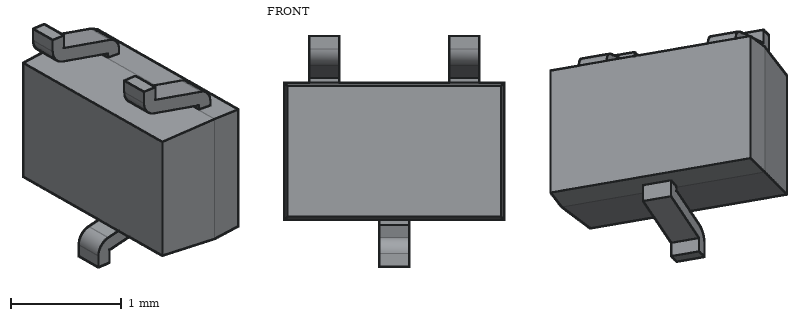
import cadquery as cq
import math

HOUSING_WIDTH = 2.0
HOUSING_HEIGHT = 1.25
HOUSING_FRONT_Y = 0.05
PARTING_Y = 0.65
HOUSING_BACK_Y = 0.95
DRAFT_ANGLE = 3.0

LEAD_SPAN = 2.1
LEAD_THICKNESS = 0.135
LEAD_WIDTH = 0.275
LEAD_PITCH = 1.27
LEAD_BACK_Y = 0.795
LEAD_SLOPE_ANGLE = 12.0
FOOT_LENGTH = 0.133
FOOT_BEND_RADIUS = 0.15
ROOT_BEND_RADIUS = 0.135


def housing_half(depth):
    """Drafted block narrowing away from the parting plane: toward -Y for positive depth, +Y for negative."""
    direction = math.copysign(1, depth)
    plane = cq.Plane(origin=(0, PARTING_Y, 0), xDir=(direction, 0, 0), normal=(0, -direction, 0))
    return cq.Workplane(plane).rect(HOUSING_WIDTH, HOUSING_HEIGHT).extrude(abs(depth), taper=DRAFT_ANGLE)


def make_housing():
    front_half = housing_half(PARTING_Y - HOUSING_FRONT_Y)
    back_half = housing_half(PARTING_Y - HOUSING_BACK_Y)
    return front_half.union(back_half)


def root_height(y):
    """Half height of the drafted rear half of the housing at depth y."""
    return HOUSING_HEIGHT / 2 - (y - PARTING_Y) * math.tan(math.radians(DRAFT_ANGLE))


def make_lead(center_x, rounded_root):
    """Lead that rises in +Z from the housing, slopes forward and ends in an upright foot."""
    slope = math.tan(math.radians(LEAD_SLOPE_ANGLE))
    slope_thickness_z = LEAD_THICKNESS / math.cos(math.radians(LEAD_SLOPE_ANGLE))
    tip_z = LEAD_SPAN / 2
    lead_front_y = LEAD_BACK_Y - LEAD_THICKNESS
    foot_corner_z = tip_z - FOOT_LENGTH

    def outer_z(y):
        return foot_corner_z - slope * (y - LEAD_THICKNESS)

    def inner_z(y):
        return outer_z(y) - slope_thickness_z

    profile = [
        (lead_front_y, root_height(lead_front_y)),
        (lead_front_y, inner_z(lead_front_y)),
        (0, inner_z(0)),
        (0, tip_z),
        (LEAD_THICKNESS, tip_z),
        (LEAD_THICKNESS, foot_corner_z),
        (LEAD_BACK_Y, outer_z(LEAD_BACK_Y)),
        (LEAD_BACK_Y, root_height(LEAD_BACK_Y)),
    ]
    lead = (
        cq.Workplane("YZ", origin=(center_x, 0, 0))
        .polyline(profile)
        .close()
        .extrude(LEAD_WIDTH / 2, both=True)
    )
    foot_bend = cq.selectors.NearestToPointSelector((center_x, 0, inner_z(0)))
    lead = lead.edges(foot_bend).fillet(FOOT_BEND_RADIUS)
    if rounded_root:
        root_bend = cq.selectors.NearestToPointSelector((center_x, LEAD_BACK_Y, outer_z(LEAD_BACK_Y)))
        lead = lead.edges(root_bend).fillet(ROOT_BEND_RADIUS)
    return lead


housing = make_housing()
upper_leads = [make_lead(side * LEAD_PITCH / 2, rounded_root=True) for side in (-1, 1)]
lower_lead = make_lead(0, rounded_root=False).mirror("XY")

result = cq.Compound.makeCompound(
    [housing.val(), *[lead.val() for lead in upper_leads], lower_lead.val()]
)